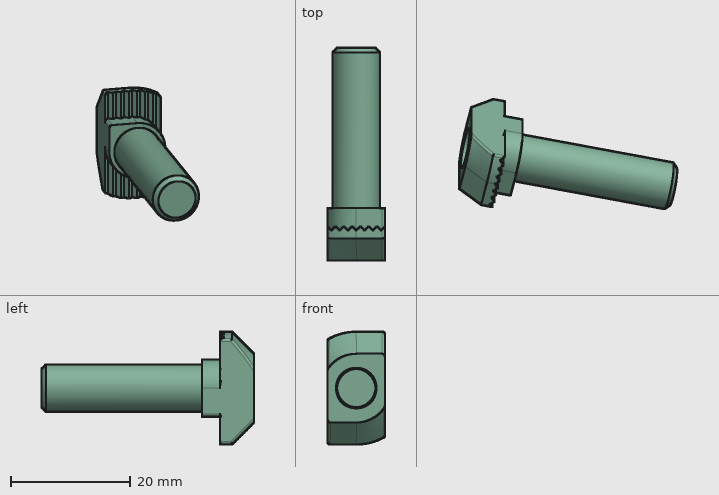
import cadquery as cq
import math

total_length = 35.75
head_width = 9.7
head_length = 19.0
head_thickness = 5.75
head_bevel = 3.72
collar_top = 8.8
corner_radius = 0.5
selection_margin = 0.05

groove_count = 7
groove_pitch = 1.4
groove_depth = 0.68

stud_diameter = 8.0
stud_chamfer = 0.8
stud_start = 0.85
mouth_diameter = 6.8

half_width = head_width / 2
half_length = head_length / 2
stud_radius = stud_diameter / 2
mouth_radius = mouth_diameter / 2


def turned(profile):
    """Revolve an (radius, height) outline about the Y axis."""
    return cq.Workplane("XY").polyline(profile).close().revolve(360, (0, 0, 0), (0, 1, 0))


def quarter(x_side, z_side, y_end):
    """Box covering one quarter of the head around the Y axis."""
    return cq.Workplane("XY").box(2 * half_length, y_end, 2 * half_length).translate(
        (x_side * half_length, y_end / 2, z_side * half_length)
    )


def turning_corners(blank, round_limit, y_end):
    """Round the two opposite corners that let the nut turn inside its slot."""
    for x_side, z_side in ((-1, 1), (1, -1)):
        corner = quarter(x_side, z_side, y_end)
        blank = blank.cut(corner.cut(round_limit))
    return blank


def make_head():
    """Bevelled hammer head with two corners turned to a cone and a cylinder."""
    end_radius = half_length - head_bevel
    half_profile = [
        (0, 0),
        (end_radius, 0),
        (half_length, head_bevel),
        (half_length, head_thickness),
        (0, head_thickness),
    ]
    side_profile = [
        (0, -end_radius),
        (0, end_radius),
        (head_bevel, half_length),
        (head_thickness, half_length),
        (head_thickness, -half_length),
        (head_bevel, -half_length),
    ]
    blank = cq.Workplane("YZ").polyline(side_profile).close().extrude(half_width, both=True)
    head = turning_corners(blank, turned(half_profile), head_thickness)
    corner_reach = 2 * corner_radius
    for x_side in (-1, 1):
        for z_side in (-1, 1):
            corner_box = cq.selectors.BoxSelector(
                (x_side * (half_width - selection_margin), selection_margin, z_side * corner_reach),
                (x_side * (half_width + selection_margin), head_thickness - selection_margin, z_side * head_length),
            )
            head = head.edges(corner_box).fillet(corner_radius)
    return head


def collar_outline():
    """Two square quarters with filleted corners and two round quarters."""
    inset = half_width - corner_radius
    fillet_mid = inset + corner_radius * math.sqrt(0.5)
    round_mid = half_width * math.sqrt(0.5)
    return (
        cq.Workplane("XZ")
        .moveTo(0, half_width)
        .lineTo(inset, half_width)
        .threePointArc((fillet_mid, fillet_mid), (half_width, inset))
        .lineTo(half_width, 0)
        .threePointArc((round_mid, -round_mid), (0, -half_width))
        .lineTo(-inset, -half_width)
        .threePointArc((-fillet_mid, -fillet_mid), (-half_width, -inset))
        .lineTo(-half_width, 0)
        .threePointArc((-round_mid, round_mid), (0, half_width))
        .close()
    )


def make_grooves():
    """V grooves along Z across the clamping face of the head."""
    grooves = cq.Workplane("XY")
    for index in range(groove_count):
        x = (index - (groove_count - 1) / 2) * groove_pitch
        groove = (
            cq.Workplane("XY")
            .moveTo(x - groove_depth, head_thickness)
            .lineTo(x, head_thickness - groove_depth)
            .lineTo(x + groove_depth, head_thickness)
            .close()
            .extrude(half_length, both=True)
        )
        grooves = grooves.add(groove)
    return grooves.combine()


def make_stud():
    """Plain round stud, chamfered at both ends."""
    return turned([
        (0, stud_start),
        (stud_radius - stud_chamfer, stud_start),
        (stud_radius, stud_start + stud_chamfer),
        (stud_radius, total_length - stud_chamfer),
        (stud_radius - stud_chamfer, total_length),
        (0, total_length),
    ])


def make_nut(stud):
    """Hammer nut: serrated head and collar, with a hole that fits the stud."""
    collar = collar_outline().extrude(-collar_top)
    mouth_depth = stud_start + mouth_radius - (stud_radius - stud_chamfer)
    mouth = cq.Workplane("XZ").circle(mouth_radius).extrude(-mouth_depth)
    return make_head().cut(make_grooves()).union(collar).cut(stud).cut(mouth)


stud = make_stud()
nut = make_nut(stud)

result = cq.Compound.makeCompound([nut.val(), stud.val()])